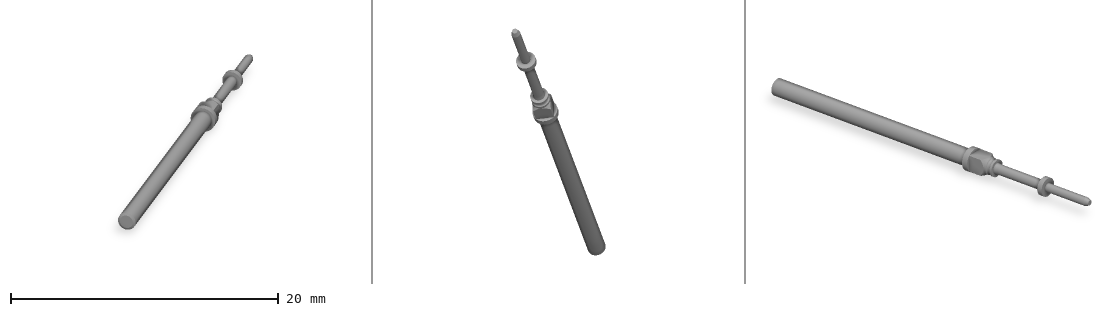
import cadquery as cq

length = 29.9
flange_rear = 18.48
flange_front = 18.95
shank_front = 20.5
groove_front = 20.87
ring_front = 21.05
flare_front = 21.38
collar_rear = 25.47
collar_front = 25.9

flange_diameter = 1.9
sleeve_diameter = 1.38
sleeve_end_diameter = 1.02
groove_floor_diameter = 1.15
flare_diameter = 0.9
shaft_diameter = 0.8
collar_diameter = 1.5
pin_diameter = 0.7
tip_diameter = 0.42

sleeve_taper_length = 0.1
tip_length = 0.35

shank_width = sleeve_diameter
shank_neck_length = 0.2
shank_cone_length = (flange_diameter - shank_width) / 2


def cylinder(diameter, rear, front):
    """Round section on the Y axis between two places."""
    plane = cq.Workplane("XZ", origin=(0, rear, 0))
    return plane.circle(diameter / 2).extrude(rear - front)


def revolve_about_y(profile):
    """Turn an XY half profile once around the Y axis."""
    return profile.revolve(360, (0, 0, 0), (0, 1, 0))


def cone(rear_diameter, front_diameter, rear, front):
    """Tapered section on the Y axis between two places."""
    profile = (
        cq.Workplane("XY")
        .moveTo(0, rear)
        .lineTo(rear_diameter / 2, rear)
        .lineTo(front_diameter / 2, front)
        .lineTo(0, front)
        .close()
    )
    return revolve_about_y(profile)


def square_shank():
    """Square shank with corners turned to the flange diameter and a coned front."""
    cone_front = shank_front - shank_neck_length
    cone_rear = cone_front - shank_cone_length
    turned = (
        cylinder(flange_diameter, flange_front, cone_rear)
        .union(cone(flange_diameter, shank_width, cone_rear, cone_front))
        .union(cylinder(shank_width, cone_front, shank_front))
    )
    middle = (flange_front + shank_front) / 2
    square = cq.Workplane("XY").box(shank_width, shank_front - flange_front, shank_width)
    return turned.intersect(square.translate((0, middle, 0)))


def groove():
    """Neck with a hollow, arc-shaped outline between the shank and the ring."""
    middle = (shank_front + groove_front) / 2
    profile = (
        cq.Workplane("XY")
        .moveTo(0, shank_front)
        .lineTo(shank_width / 2, shank_front)
        .threePointArc((groove_floor_diameter / 2, middle), (sleeve_diameter / 2, groove_front))
        .lineTo(0, groove_front)
        .close()
    )
    return revolve_about_y(profile)


def shaft():
    """Shaft whose root widens toward the ring along an arc tangent to the shaft."""
    profile = (
        cq.Workplane("XY")
        .moveTo(0, collar_rear)
        .lineTo(shaft_diameter / 2, collar_rear)
        .lineTo(shaft_diameter / 2, flare_front)
        .tangentArcPoint((flare_diameter / 2, ring_front), relative=False)
        .lineTo(0, ring_front)
        .close()
    )
    return revolve_about_y(profile)


tip_rear = length - tip_length

sections = [
    cylinder(sleeve_diameter, sleeve_taper_length, flange_rear),
    cylinder(flange_diameter, flange_rear, flange_front),
    square_shank(),
    groove(),
    cylinder(sleeve_diameter, groove_front, ring_front),
    shaft(),
    cylinder(collar_diameter, collar_rear, collar_front),
    cylinder(pin_diameter, collar_front, tip_rear),
    cone(pin_diameter, tip_diameter, tip_rear, length),
]

result = cone(sleeve_end_diameter, sleeve_diameter, 0, sleeve_taper_length)
for section in sections:
    result = result.union(section)